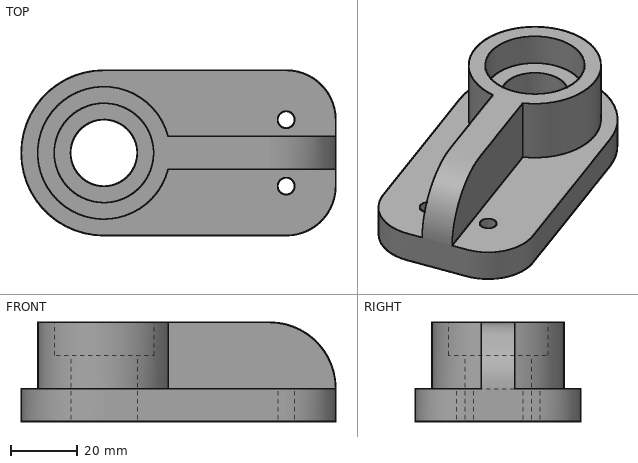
import cadquery as cq
import math

length = 95.0
width = 50.0
height = 30.0

base_thickness = 10.0
round_end_radius = width / 2
corner_radius = 15.0
square_end_x = length - round_end_radius

boss_diameter = 40.0
boss_height = height - base_thickness
counterbore_diameter = 30.0
counterbore_depth = 10.0
bore_diameter = 20.0

rib_width = 10.0
rib_nose_radius = boss_height

small_hole_diameter = 5.0
small_hole_x = 55.0
small_hole_spacing = 20.0


def make_base():
    """Plate with one full round end and two rounded corners."""
    plate = (
        cq.Workplane("XY")
        .moveTo(0, -round_end_radius)
        .lineTo(square_end_x, -round_end_radius)
        .lineTo(square_end_x, round_end_radius)
        .lineTo(0, round_end_radius)
        .threePointArc((-round_end_radius, 0), (0, -round_end_radius))
        .close()
        .extrude(base_thickness)
    )
    return plate.edges("|Z and >X").fillet(corner_radius)


def make_boss():
    return (
        cq.Workplane("XY", origin=(0, 0, base_thickness))
        .circle(boss_diameter / 2)
        .extrude(boss_height)
    )


def make_rib():
    """Upright rib whose outer end is a quarter circle down to the plate."""
    nose_center_x = square_end_x - rib_nose_radius
    arc_offset = rib_nose_radius * math.sqrt(0.5)
    return (
        cq.Workplane("XZ")
        .moveTo(0, base_thickness)
        .lineTo(square_end_x, base_thickness)
        .threePointArc(
            (nose_center_x + arc_offset, base_thickness + arc_offset),
            (nose_center_x, height),
        )
        .lineTo(0, height)
        .close()
        .extrude(rib_width / 2, both=True)
    )


body = make_base().union(make_boss()).union(make_rib())

body = (
    body.faces(">Z")
    .workplane(origin=(0, 0, height))
    .cboreHole(bore_diameter, counterbore_diameter, counterbore_depth)
)

small_holes = (
    cq.Workplane("XY")
    .pushPoints([(small_hole_x, side * small_hole_spacing / 2) for side in (-1, 1)])
    .circle(small_hole_diameter / 2)
    .extrude(base_thickness)
)

result = body.cut(small_holes)